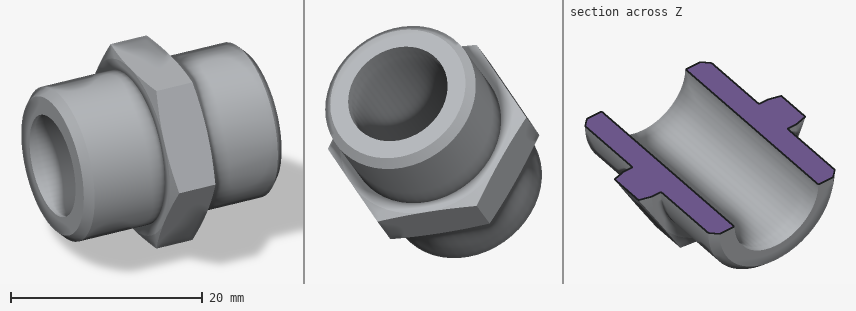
import cadquery as cq
import math

length = 23.0
body_diameter = 16.65
bore_diameter = 11.0
end_chamfer = 0.85
hex_across_flats = 19.0
hex_width = 5.0
hex_chamfer_angle = 15.0

hex_across_corners = hex_across_flats / math.cos(math.radians(30))


def cylinder(diameter, height):
    """Cylinder along Y, centred on the origin."""
    return cq.Workplane("XZ").circle(diameter / 2).extrude(height / 2, both=True)


def chamfered_hexagon():
    """Hexagon with corners on the X axis, its corners cut by a cone at each end."""
    prism = cq.Workplane("XZ").polygon(6, hex_across_corners).extrude(hex_width / 2, both=True)
    corner_radius = hex_across_corners / 2
    face_radius = hex_across_flats / 2
    corner_drop = (corner_radius - face_radius) * math.tan(math.radians(hex_chamfer_angle))
    half_width = hex_width / 2
    envelope = (
        cq.Workplane("XY")
        .moveTo(0, -half_width)
        .lineTo(face_radius, -half_width)
        .lineTo(corner_radius, -half_width + corner_drop)
        .lineTo(corner_radius, half_width - corner_drop)
        .lineTo(face_radius, half_width)
        .lineTo(0, half_width)
        .close()
        .revolve(360, (0, 0, 0), (0, 1, 0))
    )
    return prism.intersect(envelope)


body = cylinder(body_diameter, length).faces("<Y or >Y").chamfer(end_chamfer)
bore = cylinder(bore_diameter, length)

result = body.union(chamfered_hexagon()).cut(bore)